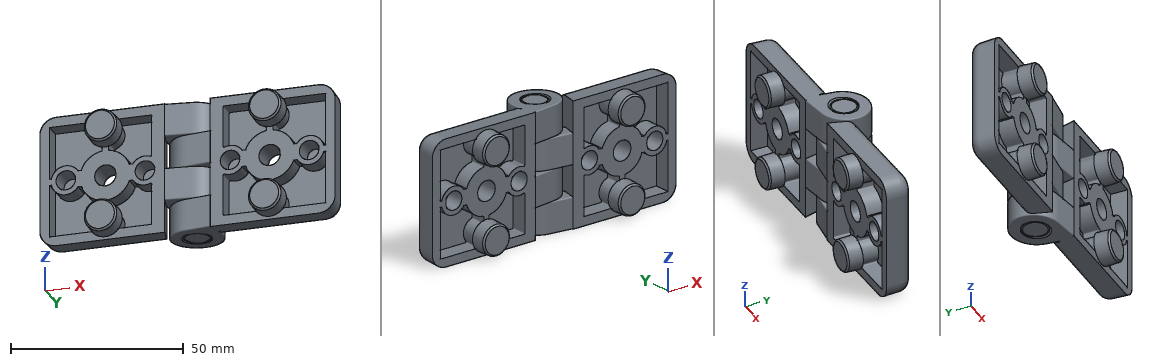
import cadquery as cq
import math


hinge_length = 90.1
hinge_width = 40.0
leaf_thickness = 8.5
draft_angle = 2.4
corner_radius = 5.05
back_edge_radius = 3.2

barrel_radius = 8.0
axis_height = 9.0
knuckle_count = 4
knuckle_height = hinge_width / knuckle_count
knuckle_draft = 1.0
rim_radius = 0.4
web_foot = 7.2
back_web_lean = 3.0

clearance_at_face = 6.9
clearance_at_back = 9.0

pin_radius = 4.1
pin_length = 38.7
pin_chamfer = 0.45
countersink_radius = 4.5

pocket_depth = 5.5
pocket_outer_wall = 3.0
pocket_hinge_wall = 10.9
pocket_corner_radius = 0.4
hole_centre = 25.05
hole_diameter = 6.5
hole_boss_radius = 7.75
side_hole_spacing = 12.1
side_hole_mouth_radius = 3.0
side_hole_floor_radius = 2.5
side_hole_depth = 6.0
side_boss_radius = 4.5
narrow_rib = 2.0
wide_rib = 5.05

peg_spacing = 14.0
peg_radius = 5.1
peg_boss_radius = 4.1
peg_height = 5.0
peg_chamfer = 0.5

draft_slope = math.tan(math.radians(draft_angle))
knuckle_slope = math.tan(math.radians(knuckle_draft))
half_length = hinge_length / 2
half_width = hinge_width / 2


def plane_facing_back(x, z):
    """Plane in the mounting face whose normal points into the leaf (+Y)."""
    return cq.Plane(origin=(x, 0, z), xDir=(1, 0, 0), normal=(0, 1, 0))


def post(x, z, radius, height):
    """Round post standing on the mounting-face plane and rising to the given height."""
    return cq.Workplane(plane_facing_back(x, z)).circle(radius).extrude(height)


def tapered_post(x, z, face_radius, far_radius, height):
    """Round post whose radius changes evenly from the mounting face to its far end."""
    return (
        cq.Workplane(plane_facing_back(x, z))
        .circle(face_radius)
        .workplane(offset=height)
        .circle(far_radius)
        .loft()
    )


def block(x_start, x_end, z_start, z_end):
    """Rectangular block with the height of the pocket."""
    size = (x_end - x_start, pocket_depth, z_end - z_start)
    return cq.Workplane("XY").box(*size, centered=False).translate((x_start, 0, z_start))


def plate():
    """Drafted plate with a rounded back, cut off along the slanted clearance face."""
    blank = (
        cq.Workplane(plane_facing_back(0, 0))
        .sketch()
        .rect(hinge_length, hinge_width)
        .vertices()
        .fillet(corner_radius)
        .finalize()
        .extrude(leaf_thickness, taper=draft_angle)
        .faces(">Y")
        .edges()
        .fillet(back_edge_radius)
    )
    leaf_side = (
        cq.Workplane("XY")
        .polyline([
            (-half_length, 0),
            (-clearance_at_face, 0),
            (-clearance_at_back, leaf_thickness),
            (-half_length, leaf_thickness),
        ])
        .close()
        .extrude(half_width, both=True)
    )
    return blank.intersect(leaf_side)


def pocket():
    """Pocket outline with the bosses and ribs left standing."""
    x_outer = -half_length + pocket_outer_wall
    x_hinge = -pocket_hinge_wall
    z_wall = half_width - pocket_outer_wall
    centre = -hole_centre
    space = block(x_outer, x_hinge, -z_wall, z_wall)
    space = space.cut(post(centre, 0, hole_boss_radius, pocket_depth))
    for side in (-1, 1):
        space = space.cut(post(centre + side * side_hole_spacing, 0, side_boss_radius, pocket_depth))
        space = space.cut(post(centre, side * peg_spacing, peg_boss_radius, pocket_depth))
    space = space.cut(block(x_outer, centre, -narrow_rib / 2, narrow_rib / 2))
    space = space.cut(block(centre - narrow_rib / 2, centre + narrow_rib / 2, -peg_spacing, peg_spacing))
    space = space.cut(
        block(centre - side_hole_spacing, centre + side_hole_spacing, -wide_rib / 2, wide_rib / 2)
    )
    edge_margin = 0.01
    hinge_wall_edges = cq.selectors.BoxSelector(
        (x_hinge - edge_margin, 0, -half_width), (x_hinge + edge_margin, leaf_thickness, half_width)
    )
    space = space.edges("|Y").edges(hinge_wall_edges).fillet(pocket_corner_radius)
    for side in (-1, 1):
        peg_boss_edges = cq.selectors.BoxSelector(
            (centre - peg_boss_radius, 0, side * side_boss_radius),
            (centre + peg_boss_radius, leaf_thickness, side * half_width),
        )
        space = space.edges("|Y").edges(peg_boss_edges).fillet(pocket_corner_radius)
    return space


def drafted_slab(z_bottom, bottom_slope, z_top, top_slope):
    """Slab whose two Z faces close in on each other towards +Y."""
    height = axis_height + barrel_radius
    return (
        cq.Workplane("YZ")
        .polyline([
            (0, z_bottom),
            (height, z_bottom + bottom_slope * height),
            (height, z_top - top_slope * height),
            (0, z_top),
        ])
        .close()
        .extrude(half_length, both=True)
    )


def front_tangent():
    """Point where the front flank, leaning back from the web's foot, touches the barrel."""
    foot_distance = math.hypot(web_foot, axis_height)
    lean = math.atan2(axis_height, web_foot) - math.asin(barrel_radius / foot_distance)
    return barrel_radius * math.sin(lean), axis_height - barrel_radius * math.cos(lean)


def back_tangent():
    """Point where the leaning back flank touches the barrel."""
    lean = math.radians(back_web_lean)
    return -barrel_radius * math.cos(lean), axis_height + barrel_radius * math.sin(lean)


def back_root():
    """Point where the back flank meets the slanted clearance face."""
    tangent_x, tangent_y = back_tangent()
    clearance_slope = (clearance_at_back - clearance_at_face) / leaf_thickness
    flank_slope = math.tan(math.radians(back_web_lean))
    y = (flank_slope * tangent_y - tangent_x - clearance_at_face) / (clearance_slope + flank_slope)
    return -clearance_at_face - clearance_slope * y, y


def knuckle(z_bottom, top_slope):
    """Barrel section and the web that carries it, with the rims of both end faces rounded."""
    slab = drafted_slab(z_bottom, knuckle_slope, z_bottom + knuckle_height, top_slope)
    arc_offset = barrel_radius * math.sqrt(0.5)
    rounded = (
        cq.Workplane("XY")
        .moveTo(-web_foot, 0)
        .lineTo(*front_tangent())
        .threePointArc((arc_offset, axis_height + arc_offset), back_tangent())
        .lineTo(*back_root())
        .close()
        .extrude(half_width, both=True)
        .intersect(slab)
        .edges("%ELLIPSE")
        .fillet(rim_radius)
    )
    root = (
        cq.Workplane("XY")
        .polyline([(-web_foot, 0), (-web_foot, back_root()[1]), back_root()])
        .close()
        .extrude(half_width, both=True)
        .intersect(slab)
    )
    return rounded.union(root)


def pin_bore():
    """Bore through the whole width, flared at the outer end of the leaf's top knuckle."""
    bore = cq.Workplane("XY").center(0, axis_height).circle(pin_radius).extrude(half_width, both=True)
    rim_z = half_width - draft_slope * axis_height
    flare = (
        cq.Workplane("XZ", origin=(0, axis_height, 0))
        .polyline([
            (0, rim_z - countersink_radius),
            (countersink_radius + half_width - rim_z, half_width),
            (0, half_width),
        ])
        .close()
        .revolve(360, (0, 0, 0), (0, 1, 0))
    )
    return bore.union(flare)


def leaf():
    """Leaf on the -X side: plate, its two knuckles, pocket, holes and pin bore."""
    centre = -hole_centre
    body = plate()
    body = body.union(knuckle(half_width - knuckle_height, draft_slope))
    body = body.union(knuckle(-knuckle_height, knuckle_slope))
    body = body.cut(pocket())
    body = body.cut(post(centre, 0, hole_diameter / 2, leaf_thickness))
    for side in (-1, 1):
        x = centre + side * side_hole_spacing
        body = body.cut(
            tapered_post(x, 0, side_hole_mouth_radius, side_hole_floor_radius, side_hole_depth)
        )
    return body.cut(pin_bore())


def hinge_pin():
    """Straight pin with chamfered ends, recessed below the outer knuckle faces."""
    return (
        cq.Workplane("XY", origin=(0, axis_height, -pin_length / 2))
        .circle(pin_radius)
        .extrude(pin_length)
        .faces("<Z or >Z")
        .chamfer(pin_chamfer)
    )


def peg(x, z):
    """Drafted locating peg standing on the mounting face."""
    chamfer_start = peg_height - peg_chamfer
    tip_radius = peg_radius - draft_slope * chamfer_start
    return (
        cq.Workplane("XY")
        .polyline([
            (0, 0),
            (peg_radius, 0),
            (tip_radius, -chamfer_start),
            (tip_radius - peg_chamfer, -peg_height),
            (0, -peg_height),
        ])
        .close()
        .revolve(360, (0, 0, 0), (0, 1, 0))
        .translate((x, 0, z))
    )


left_leaf = leaf()
right_leaf = left_leaf.rotate((0, 0, 0), (0, 1, 0), 180)
pin = hinge_pin()
pegs = [
    peg(x, z).val()
    for x in (-hole_centre, hole_centre)
    for z in (-peg_spacing, peg_spacing)
]

result = cq.Compound.makeCompound([left_leaf.val(), right_leaf.val(), pin.val(), *pegs])